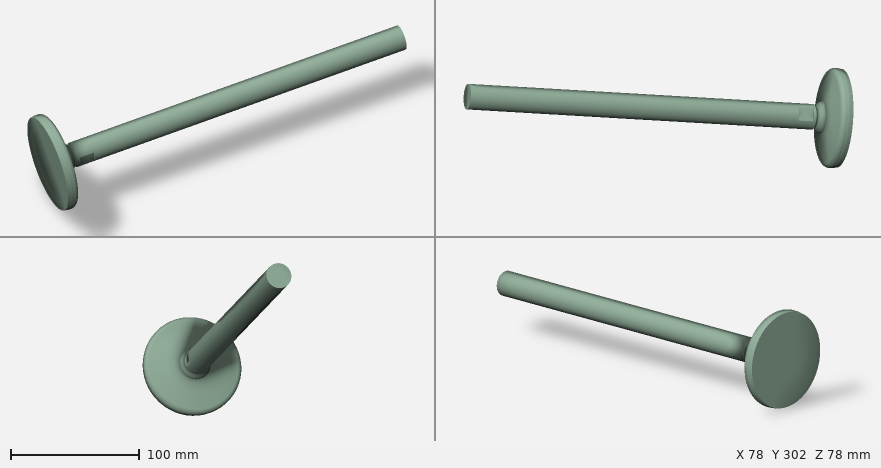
import cadquery as cq
import math

TOTAL_LENGTH = 302.0

FOOT_RADIUS = 78.0 / 2
UNDERSIDE_RADIUS = 38.5
TAPER_HEIGHT = 3.5
RIM_HEIGHT = 6.3
SHOULDER_RADIUS = 35.5
SHOULDER_HEIGHT = 9.7
HUB_RADIUS = 12.7
HUB_HEIGHT = 14.5
NECK_RADIUS = 8.2
NECK_HEIGHT = 19.5
HUB_BULGE = 1.0

STEM_RADIUS = 20.0 / 2
STEM_CHAMFER = STEM_RADIUS - NECK_RADIUS
FLAT_START = 23.5
FLAT_LENGTH = 12.0
ACROSS_FLATS = 17.0


def bowed_midpoint(start, end, bulge):
    """Point beside the chord's middle, to the left of the start-to-end direction."""
    dx = end[0] - start[0]
    dy = end[1] - start[1]
    chord = math.hypot(dx, dy)
    middle_x = (start[0] + end[0]) / 2
    middle_y = (start[1] + end[1]) / 2
    return (middle_x - bulge * dy / chord, middle_y + bulge * dx / chord)


def make_foot():
    """Round foot with a tapered rim, a rounded shoulder, a sloping top and a domed hub."""
    neck = (NECK_RADIUS, NECK_HEIGHT)
    hub = (HUB_RADIUS, HUB_HEIGHT)
    return (
        cq.Workplane("XY")
        .moveTo(0, NECK_HEIGHT)
        .lineTo(*neck)
        .threePointArc(bowed_midpoint(neck, hub, HUB_BULGE), hub)
        .lineTo(SHOULDER_RADIUS, SHOULDER_HEIGHT)
        .tangentArcPoint((FOOT_RADIUS, RIM_HEIGHT), relative=False)
        .lineTo(FOOT_RADIUS, TAPER_HEIGHT)
        .lineTo(UNDERSIDE_RADIUS, 0)
        .lineTo(0, 0)
        .close()
        .revolve(360, (0, 0, 0), (0, 1, 0))
    )


def make_stem():
    """Straight rod resting on the neck, chamfered at its foot, with two wrench flats."""
    stem = (
        cq.Workplane("XY")
        .moveTo(0, NECK_HEIGHT)
        .lineTo(NECK_RADIUS, NECK_HEIGHT)
        .lineTo(STEM_RADIUS, NECK_HEIGHT + STEM_CHAMFER)
        .lineTo(STEM_RADIUS, TOTAL_LENGTH)
        .lineTo(0, TOTAL_LENGTH)
        .close()
        .revolve(360, (0, 0, 0), (0, 1, 0))
    )
    for side in (-1, 1):
        wrench_cut = cq.Workplane("XY").box(STEM_RADIUS, FLAT_LENGTH, 2 * STEM_RADIUS).translate(
            (side * (ACROSS_FLATS + STEM_RADIUS) / 2, FLAT_START + FLAT_LENGTH / 2, 0)
        )
        stem = stem.cut(wrench_cut)
    return stem


foot = make_foot()
stem = make_stem()

result = cq.Compound.makeCompound([foot.val(), stem.val()])